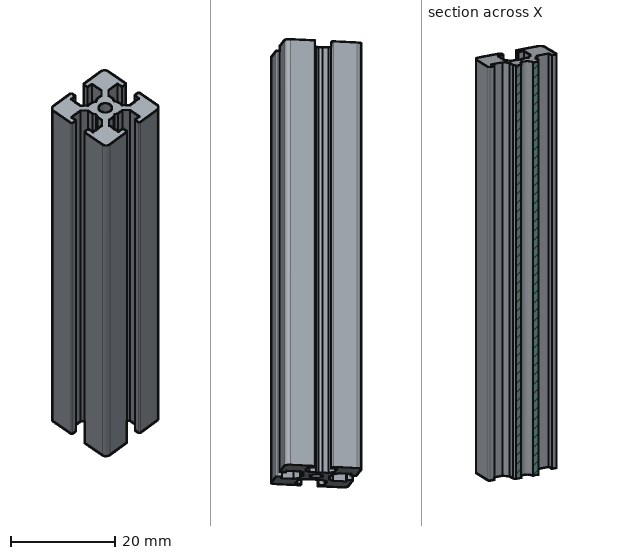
import cadquery as cq

length = 84.5
width = 15.0
corner_radius = 1.0
bore_diameter = 2.5

opening_width = 3.3
lip_thickness = 1.2
lip_edge_radius = 0.25
channel_width = 5.75
core_width = 5.7
floor_chamfer = 1.0

groove_width = 1.3
groove_depth = 0.3

half_width = width / 2
half_opening = opening_width / 2
half_channel = channel_width / 2
half_groove = groove_width / 2
lip_inner = half_width - lip_thickness
floor = core_width / 2


def make_slot():
    """T-slot opening toward +Y, symmetric about the YZ plane."""
    mouth = half_opening + lip_edge_radius
    lip_edge_end = half_width - lip_edge_radius
    arc_offset = lip_edge_radius * (1 - 0.5 ** 0.5)
    arc_mid_x = half_opening + arc_offset
    arc_mid_y = half_width - arc_offset
    return (
        cq.Workplane("XY")
        .moveTo(-mouth, half_width)
        .threePointArc((-arc_mid_x, arc_mid_y), (-half_opening, lip_edge_end))
        .lineTo(-half_opening, lip_inner)
        .lineTo(-half_channel, lip_inner)
        .lineTo(-half_channel, floor + floor_chamfer)
        .lineTo(-half_channel + floor_chamfer, floor)
        .lineTo(-half_groove, floor)
        .lineTo(0, floor - groove_depth)
        .lineTo(half_groove, floor)
        .lineTo(half_channel - floor_chamfer, floor)
        .lineTo(half_channel, floor + floor_chamfer)
        .lineTo(half_channel, lip_inner)
        .lineTo(half_opening, lip_inner)
        .lineTo(half_opening, lip_edge_end)
        .threePointArc((arc_mid_x, arc_mid_y), (mouth, half_width))
        .close()
        .extrude(length)
    )


result = cq.Workplane("XY").rect(width, width).extrude(length)
result = result.edges("|Z").fillet(corner_radius)
result = result.faces(">Z").workplane().hole(bore_diameter)

slot = make_slot()
for angle in (0, 90, 180, 270):
    result = result.cut(slot.rotate((0, 0, 0), (0, 0, 1), angle))